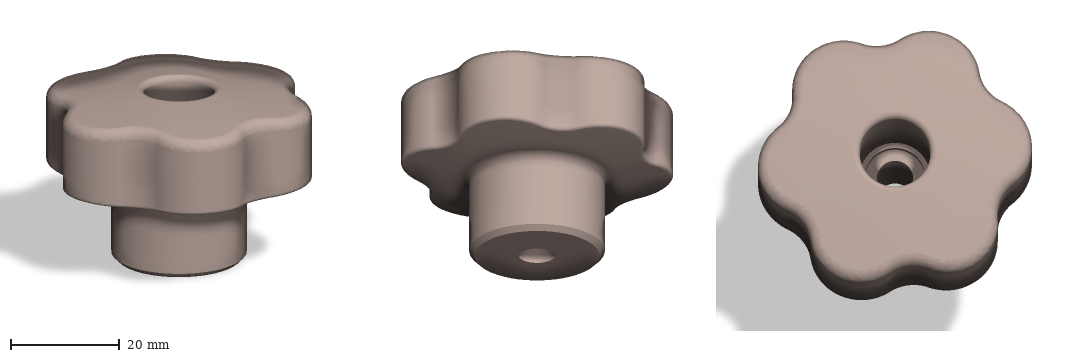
import cadquery as cq
import math

LOBE_COUNT = 6
LOBE_CENTER_RADIUS = 16.0
LOBE_RADIUS = 9.35
VALLEY_RADIUS = 7.5

TOTAL_HEIGHT = 32.9
UNDERSIDE_HEIGHT = 15.4

TOP_DOME_RADIUS = 150.0
UNDERSIDE_DOME_RADIUS = 140.0
TOP_EDGE_FILLET = 2.0
UNDERSIDE_EDGE_FILLET = 0.6

HUB_DIAMETER = 25.0
HUB_CHAMFER = 1.0
HUB_FILLET = 1.5

RECESS_DIAMETER = 13.0
RECESS_FLOOR = 16.0
RECESS_MOUTH_FILLET = 1.0
STEP_DIAMETER = 11.0
STEP_FLOOR = 15.0
THROUGH_DIAMETER = 6.65

LOBE_PITCH = 2 * math.pi / LOBE_COUNT
HALF_PITCH = LOBE_PITCH / 2
TIP_RADIUS = LOBE_CENTER_RADIUS + LOBE_RADIUS
FIRST_LOBE_ANGLE = math.pi / 2
VALLEY_CENTER_RADIUS = LOBE_CENTER_RADIUS * math.cos(HALF_PITCH) + math.sqrt(
    (LOBE_RADIUS + VALLEY_RADIUS) ** 2 - (LOBE_CENTER_RADIUS * math.sin(HALF_PITCH)) ** 2
)
VALLEY_BOTTOM_RADIUS = VALLEY_CENTER_RADIUS - VALLEY_RADIUS

BLEND = LOBE_RADIUS / (LOBE_RADIUS + VALLEY_RADIUS)
TANGENT_ALONG = LOBE_CENTER_RADIUS + BLEND * (
    VALLEY_CENTER_RADIUS * math.cos(HALF_PITCH) - LOBE_CENTER_RADIUS
)
TANGENT_ACROSS = BLEND * VALLEY_CENTER_RADIUS * math.sin(HALF_PITCH)
TANGENT_RADIUS = math.hypot(TANGENT_ALONG, TANGENT_ACROSS)
TANGENT_ANGLE = math.atan2(TANGENT_ACROSS, TANGENT_ALONG)

HUB_RADIUS = HUB_DIAMETER / 2
HUB_FILLET_RADIUS = HUB_RADIUS + HUB_FILLET
MOUTH_RADIUS = RECESS_DIAMETER / 2 + RECESS_MOUTH_FILLET


def polar(radius, angle):
    return (radius * math.cos(angle), radius * math.sin(angle))


def sag(dome_radius, radius):
    """Drop of a spherical dome from its apex at a given distance from the axis."""
    return dome_radius - math.sqrt(dome_radius**2 - radius**2)


def lobed_prism():
    """Prism taller than the knob, with convex lobes joined by tangent concave valleys."""
    outline = cq.Workplane("XY").moveTo(*polar(TANGENT_RADIUS, FIRST_LOBE_ANGLE - TANGENT_ANGLE))
    for i in range(LOBE_COUNT):
        lobe = FIRST_LOBE_ANGLE + i * LOBE_PITCH
        next_lobe = lobe + LOBE_PITCH
        outline = outline.threePointArc(
            polar(TIP_RADIUS, lobe), polar(TANGENT_RADIUS, lobe + TANGENT_ANGLE)
        )
        outline = outline.threePointArc(
            polar(VALLEY_BOTTOM_RADIUS, lobe + HALF_PITCH),
            polar(TANGENT_RADIUS, next_lobe - TANGENT_ANGLE),
        )
    return outline.close().extrude(TOTAL_HEIGHT * 2)


def dome(radius, apex_height, facing):
    """Ball touching apex_height on the axis; facing is 1 for a top dome, -1 for an underside."""
    ball = cq.Workplane("XY").sphere(radius).rotate((0, 0, 0), (0, 1, 0), facing * 90)
    return ball.translate((0, 0, apex_height - facing * radius))


def grip():
    top_apex = TOTAL_HEIGHT + sag(TOP_DOME_RADIUS, MOUTH_RADIUS)
    low_apex = UNDERSIDE_HEIGHT - sag(UNDERSIDE_DOME_RADIUS, HUB_FILLET_RADIUS)
    body = lobed_prism()
    body = body.intersect(dome(TOP_DOME_RADIUS, top_apex, 1))
    body = body.intersect(dome(UNDERSIDE_DOME_RADIUS, low_apex, -1))
    body = body.faces(">Z").edges().fillet(TOP_EDGE_FILLET)
    return body.faces("<Z").edges().fillet(UNDERSIDE_EDGE_FILLET)


def hub():
    """Chamfered cylinder whose concave flare meets the underside of the grip."""
    flare_start = UNDERSIDE_HEIGHT - HUB_FILLET
    core_top = (UNDERSIDE_HEIGHT + TOTAL_HEIGHT) / 2
    flare_offset = HUB_FILLET * (1 - math.sqrt(0.5))
    profile = (
        cq.Workplane("XZ")
        .moveTo(0, 0)
        .lineTo(HUB_RADIUS - HUB_CHAMFER, 0)
        .lineTo(HUB_RADIUS, HUB_CHAMFER)
        .lineTo(HUB_RADIUS, flare_start)
        .threePointArc(
            (HUB_RADIUS + flare_offset, UNDERSIDE_HEIGHT - flare_offset),
            (HUB_FILLET_RADIUS, UNDERSIDE_HEIGHT),
        )
        .lineTo(HUB_RADIUS, core_top)
        .lineTo(0, core_top)
        .close()
    )
    return profile.revolve(360, (0, 0, 0), (0, 1, 0))


def bore(diameter, floor):
    return cq.Workplane("XY").workplane(offset=floor).circle(diameter / 2).extrude(TOTAL_HEIGHT * 2)


def round_recess_mouth(body):
    mouth = cq.selectors.BoxSelector(
        (-MOUTH_RADIUS, -MOUTH_RADIUS, TOTAL_HEIGHT - RECESS_MOUTH_FILLET),
        (MOUTH_RADIUS, MOUTH_RADIUS, TOTAL_HEIGHT + RECESS_MOUTH_FILLET),
        boundingbox=True,
    )
    return body.edges(mouth).fillet(RECESS_MOUTH_FILLET)


knob = grip().union(hub())
knob = knob.cut(bore(THROUGH_DIAMETER, 0))
knob = knob.cut(bore(STEP_DIAMETER, STEP_FLOOR))
knob = knob.cut(bore(RECESS_DIAMETER, RECESS_FLOOR))
result = round_recess_mouth(knob)